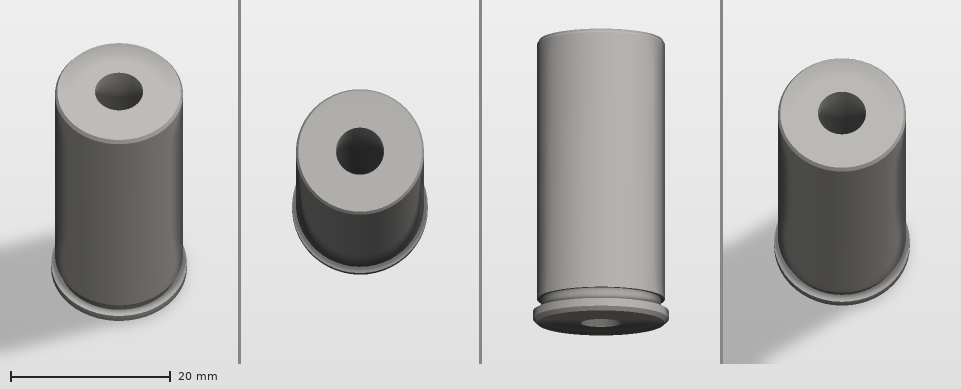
import cadquery as cq
import math

total_height = 36.0
flange_diameter = 17.0
body_diameter = 16.02
groove_diameter = 15.0

flange_height = 1.5
groove_height = 1.5
groove_top = flange_height + groove_height

flange_chamfer = 0.5
top_chamfer_height = 0.5
top_chamfer_width = 0.3

bore_diameter = 6.0
through_hole_diameter = 5.0
bore_cone_angle = 140.0
bore_bottom = groove_top


def cylinder(diameter, bottom, height):
    """Upright cylinder on the Z axis, starting at the given height."""
    return cq.Workplane("XY").workplane(offset=bottom).circle(diameter / 2).extrude(height)


flange = cylinder(flange_diameter, 0, flange_height).faces("<Z").edges().chamfer(flange_chamfer)
neck = cylinder(groove_diameter, flange_height, groove_height)

body_radius = body_diameter / 2
body = (
    cq.Workplane("XZ")
    .moveTo(0, groove_top)
    .lineTo(body_radius, groove_top)
    .lineTo(body_radius, total_height - top_chamfer_height)
    .lineTo(body_radius - top_chamfer_width, total_height)
    .lineTo(0, total_height)
    .close()
    .revolve(360, (0, 0, 0), (0, 1, 0))
)

through_hole = cylinder(through_hole_diameter, 0, total_height)

bore_radius = bore_diameter / 2
hole_radius = through_hole_diameter / 2
cone_height = (bore_radius - hole_radius) / math.tan(math.radians(bore_cone_angle / 2))
bore = (
    cq.Workplane("XZ")
    .moveTo(0, bore_bottom)
    .lineTo(hole_radius, bore_bottom)
    .lineTo(bore_radius, bore_bottom + cone_height)
    .lineTo(bore_radius, total_height)
    .lineTo(0, total_height)
    .close()
    .revolve(360, (0, 0, 0), (0, 1, 0))
)

result = flange.union(neck).union(body).cut(through_hole).cut(bore)